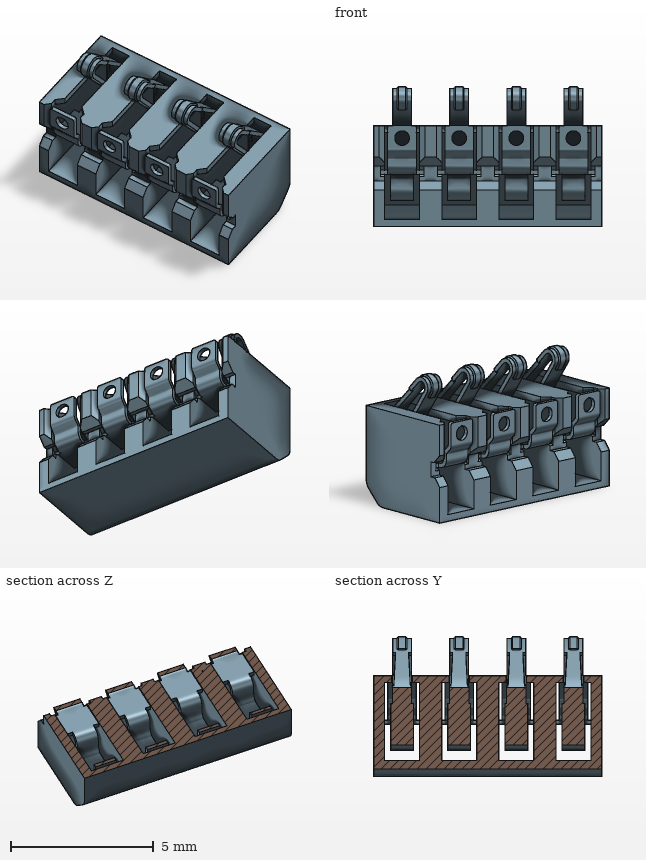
import cadquery as cq
import math


contact_count = 4
pitch = 2.0
housing_length = contact_count * pitch
housing_depth = 3.86
housing_height = 3.54
wall = 0.25
corner_chamfer = 0.7
corner_radius = 0.5

groove_depth = 0.46
groove_floor_z = 1.59
groove_roof_z = 2.13
lower_lip_y = 0.25
lower_lip_z = 1.29
upper_lip = 0.3

chamber_width = 1.22
chamber_sweep_radius = 1.2
chamber_slope = 0.15
slot_width = 0.71
slot_front_y = 0.66
flare_width = 1.6

thickness = 0.15
half_thickness = thickness / 2
tab_width = 1.01
tab_overhang = 0.05
tab_corner_radius = 0.08
tab_hole_diameter = 0.51
tab_hole_z = 3.1
tab_y = half_thickness - tab_overhang
tab_bend_z = 2.66
tab_bend_radius = 0.17
tab_step = 0.25
plate_z = 1.9
plate_bend_radius = 0.26
plate_end_y = 1.6

wing_width = 1.52
wing_front_y = groove_depth + groove_roof_z - plate_z - half_thickness
slit_bottom_z = 1.76

spring_width = 0.81
drop_y = 1.92
drop_bend_radius = 0.3
belly_front_z = 1.18
belly_front_radius = 0.5
belly_z = 0.99
belly_toe_radius = 0.08
rear_y = 3.44
belly_rear_radius = 0.4
rear_top_radius = 1.26
leg_start_z = 2.56
shoulder_y = 3.36
leg_root_width = 0.58
leg_tip_width = 0.46
leg_tip_y = 2.35

total_height = 4.9
loop_width = 0.66
loop_radius = 0.27
loop_y = 1.71
rib_width = 0.35
rib_height = 0.06
rib_bevel = 0.05
rib_root = 0.07
rib_rear_length = 0.46
rib_front_length = 0.27
free_leg_angle = 35.0
free_leg_end_y = 2.96

loop_outer_radius = loop_radius + half_thickness
loop_z = total_height - rib_height - loop_outer_radius
diagonal = math.sqrt(0.5)

rear_tangent = math.radians(45)
front_tangent = math.radians(180 + free_leg_angle)
loop_crown = (rear_tangent + front_tangent) / 2
rear_leg_direction = (diagonal, -diagonal)
free_leg_tilt = math.radians(free_leg_angle)
free_leg_direction = (math.sin(free_leg_tilt), -math.cos(free_leg_tilt))


def side_profile():
    """Sketch plane with local axes Y and Z, extruding along X."""
    return cq.Workplane("YZ")


def slab(outline, width):
    """Extrude a side outline to the given width, centred on X = 0."""
    return outline.extrude(width / 2, both=True)


def centred_box(width, y_start, y_end, z_start, z_end):
    return (
        cq.Workplane("XY")
        .box(width, y_end - y_start, z_end - z_start, centered=(True, False, False))
        .translate((0, y_start, z_start))
    )


def toward(start, end, distance):
    """The point at a distance from start on the way to end."""
    length = math.dist(start, end)
    return tuple(a + (b - a) * distance / length for a, b in zip(start, end))


def bent_path(start, bends, end):
    """Side path through bends, each a corner point and its radius."""
    path = side_profile().moveTo(*start)
    corners = [start] + [corner for corner, _ in bends] + [end]
    for before, (corner, radius), after in zip(corners, bends, corners[2:]):
        to_before = math.atan2(before[1] - corner[1], before[0] - corner[0])
        to_after = math.atan2(after[1] - corner[1], after[0] - corner[0])
        half_angle = abs(math.remainder(to_after - to_before, math.tau)) / 2
        arc_start = toward(corner, before, radius / math.tan(half_angle))
        arc_end = toward(corner, after, radius / math.tan(half_angle))
        chord_middle = tuple((a + b) / 2 for a, b in zip(arc_start, arc_end))
        arc_middle = toward(corner, chord_middle, radius / math.sin(half_angle) - radius)
        path = path.lineTo(*arc_start).threePointArc(arc_middle, arc_end)
    return path.lineTo(*end)


def vertical_start_strip(path, width, start):
    """Sweep the strip section along a path that starts vertically."""
    section = cq.Workplane("XY", origin=(0, *start)).rect(width, thickness)
    return section.sweep(path)


def loop_point(radius, angle):
    """A point around the loop centre; the angle runs from +Y towards +Z."""
    return (loop_y + radius * math.cos(angle), loop_z + radius * math.sin(angle))


def along(point, direction, distance):
    return (point[0] + direction[0] * distance, point[1] + direction[1] * distance)


def loop_outline(inner, outer, rear_length, front_length, end_bevel=0):
    """Closed side outline of a band round the loop; a bevel shortens the outer side of its legs."""
    def leg_end(radius, angle, direction, length):
        return along(loop_point(radius, angle), direction, length)

    return (
        side_profile()
        .moveTo(*leg_end(outer, rear_tangent, rear_leg_direction, rear_length - end_bevel))
        .lineTo(*loop_point(outer, rear_tangent))
        .threePointArc(loop_point(outer, loop_crown), loop_point(outer, front_tangent))
        .lineTo(*leg_end(outer, front_tangent, free_leg_direction, front_length - end_bevel))
        .lineTo(*leg_end(inner, front_tangent, free_leg_direction, front_length))
        .lineTo(*loop_point(inner, front_tangent))
        .threePointArc(loop_point(inner, loop_crown), loop_point(inner, rear_tangent))
        .lineTo(*leg_end(inner, rear_tangent, rear_leg_direction, rear_length))
        .close()
    )


def make_housing():
    outline = (
        side_profile()
        .moveTo(0, 0)
        .lineTo(housing_depth - corner_chamfer, 0)
        .lineTo(housing_depth, corner_chamfer)
        .lineTo(housing_depth, housing_height)
        .lineTo(0, housing_height)
        .lineTo(0, groove_roof_z + upper_lip)
        .lineTo(upper_lip, groove_roof_z)
        .lineTo(groove_depth, groove_roof_z)
        .lineTo(groove_depth, groove_floor_z)
        .lineTo(lower_lip_y, groove_floor_z)
        .lineTo(0, lower_lip_z)
        .close()
    )
    housing = slab(outline, housing_length)
    rear_slope = cq.selectors.NearestToPointSelector(
        (0, housing_depth - corner_chamfer / 2, corner_chamfer / 2)
    )
    return housing.faces(rear_slope).edges("|X").fillet(corner_radius)


def chamber_cut():
    rear = housing_depth - wall
    slope_front = rear - chamber_slope
    sweep_start = slope_front - chamber_sweep_radius * diagonal
    sweep_rise = chamber_sweep_radius * (1 - diagonal)
    sweep_angle = math.radians(22.5)
    sweep_middle = (
        sweep_start + chamber_sweep_radius * math.sin(sweep_angle),
        wall + chamber_sweep_radius * (1 - math.cos(sweep_angle)),
    )
    outline = (
        side_profile()
        .moveTo(0, wall)
        .lineTo(sweep_start, wall)
        .threePointArc(sweep_middle, (slope_front, wall + sweep_rise))
        .lineTo(rear, wall + sweep_rise + chamber_slope)
        .lineTo(rear, housing_height - wall)
        .lineTo(0, housing_height - wall)
        .close()
    )
    return slab(outline, chamber_width)


def top_slot_cut():
    """Slot in the top wall, widening to the chamber towards the front."""
    widening = (chamber_width - slot_width) / 2
    right_side = [
        (chamber_width / 2, 0),
        (chamber_width / 2, slot_front_y - widening),
        (slot_width / 2, slot_front_y),
        (slot_width / 2, housing_depth - wall),
    ]
    left_side = [(-x, y) for x, y in reversed(right_side)]
    slot = cq.Workplane("XY").polyline(right_side + left_side).close().extrude(wall)
    return slot.translate((0, 0, housing_height - wall))


def flare_cut():
    """45 degree lead-in at the front face, above the groove."""
    depth = (flare_width - chamber_width) / 2
    outline = [
        (-flare_width / 2, 0),
        (flare_width / 2, 0),
        (chamber_width / 2, depth),
        (-chamber_width / 2, depth),
    ]
    flare = cq.Workplane("XY").polyline(outline).close().extrude(housing_height - groove_roof_z)
    return flare.translate((0, 0, groove_roof_z))


def wing_slit_mouth_cut():
    """Tapered mouth that guides the wings into the housing."""
    outline = (
        side_profile()
        .moveTo(groove_depth, groove_roof_z)
        .lineTo(wing_front_y, plate_z + half_thickness)
        .lineTo(wing_front_y, plate_z - half_thickness)
        .lineTo(groove_depth, slit_bottom_z)
        .close()
    )
    return slab(outline, wing_width)


def make_tab_and_plate():
    tab_top = (tab_y, housing_height)
    step_y = tab_y + tab_step
    bends = [
        ((tab_y, tab_bend_z), tab_bend_radius),
        ((step_y, tab_bend_z - tab_step), tab_bend_radius),
        ((step_y, plate_z), plate_bend_radius),
    ]
    strip = vertical_start_strip(bent_path(tab_top, bends, (plate_end_y, plate_z)), tab_width, tab_top)
    strip = strip.edges("|Y and >Z").fillet(tab_corner_radius)
    hole = (
        cq.Workplane("XZ", origin=(0, -tab_overhang, tab_hole_z))
        .circle(tab_hole_diameter / 2)
        .extrude(-thickness)
    )
    wings = centred_box(
        wing_width, wing_front_y, plate_end_y, plate_z - half_thickness, plate_z + half_thickness
    )
    return strip.cut(hole).union(wings)


def make_spring():
    """Narrow strip from the plate, down and back along the chamber, then up its rear."""
    rear = (rear_y, leg_start_z)
    bends = [
        ((rear_y, belly_z), belly_rear_radius),
        ((drop_y + belly_front_z - belly_z, belly_z), belly_toe_radius),
        ((drop_y, belly_front_z), belly_front_radius),
        ((drop_y, plate_z), drop_bend_radius),
    ]
    end = (plate_end_y - half_thickness, plate_z)
    return vertical_start_strip(bent_path(rear, bends, end), spring_width, rear)


def make_leg():
    """Tapered leg from the rear of the chamber up to the loop."""
    start = (rear_y, leg_start_z)
    tangent_y, tangent_z = loop_point(loop_radius, rear_tangent)
    leg_sum = tangent_y + tangent_z
    bends = [((rear_y, leg_sum - rear_y), rear_top_radius)]
    end_y = leg_tip_y - thickness
    leg = vertical_start_strip(bent_path(start, bends, (end_y, leg_sum - end_y)), spring_width, start)
    rear = rear_y + half_thickness
    shoulder = (spring_width - leg_root_width) / 2
    right_side = [
        (spring_width / 2, rear),
        (spring_width / 2, shoulder_y + shoulder),
        (leg_root_width / 2, shoulder_y),
        (leg_tip_width / 2, leg_tip_y),
        (leg_tip_width / 2, loop_y),
    ]
    left_side = [(-x, y) for x, y in reversed(right_side)]
    taper = cq.Workplane("XY").polyline(right_side + left_side).close().extrude(total_height)
    return leg.intersect(taper)


def make_loop():
    inner = loop_radius - half_thickness
    rear_run = (leg_tip_y - loop_point(loop_outer_radius, rear_tangent)[0]) / diagonal
    free_run = (free_leg_end_y - loop_point(loop_radius, front_tangent)[0]) / free_leg_direction[0]
    band = slab(loop_outline(inner, loop_outer_radius, rear_run, free_run), loop_width)
    rib_outer = loop_outer_radius + rib_height
    rib_outline = loop_outline(
        loop_outer_radius - rib_root, rib_outer, rib_rear_length, rib_front_length, rib_bevel
    )
    rib = slab(rib_outline, rib_width)
    rib = rib.faces("<X or >X").edges().chamfer(rib_bevel)
    return band.union(rib)


contact = make_tab_and_plate().union(make_spring()).union(make_leg()).union(make_loop())
opening = chamber_cut().union(top_slot_cut()).union(flare_cut()).union(wing_slit_mouth_cut())

result = make_housing()
for index in range(contact_count):
    contact_x = (index - (contact_count - 1) / 2) * pitch
    result = result.cut(opening.translate((contact_x, 0, 0)))
    result = result.union(contact.translate((contact_x, 0, 0)))